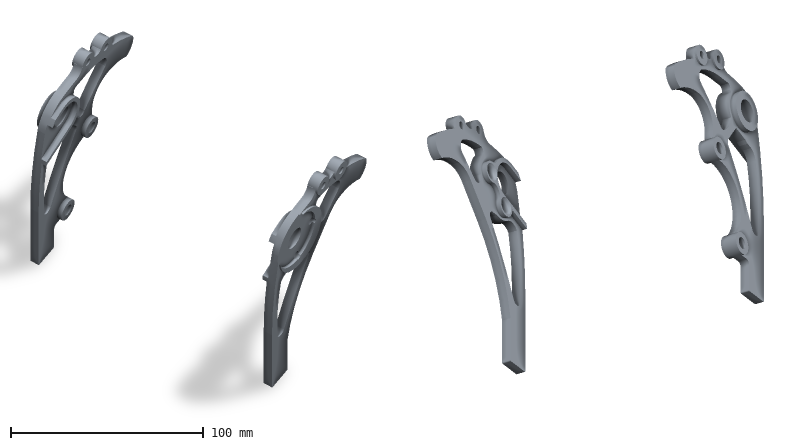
import cadquery as cq
import math


plate_thickness = 5.2
ear_boss_height = 1.15
bearing_boss_height = 3.4
inner_height = 2.8
overall_width = 155.49
inner_x = plate_thickness + inner_height
full_depth = ear_boss_height + inner_x

front_y = -22.1
bottom_z = -101.75
tail_rear_y = -7.5
tail_corner_radius = 0.6
step_radius = 2.5
front_bend_z = -57.5
far_tail_top_z = -76.5
arm_tip_y = 66.35

bearing_hole_radius = 6.15
bearing_boss_radius = 10.8
seat_radius = 12.6
slot_radius = 10.0
slot_depth_into_plate = 0.6
slot_angle = 17.6
slot_reach = 40.0

blank_size = 300.0

ears = [(40.9, 14.95), (24.15, 19.95)]
ear_radius = 5.45
ear_hole_radius = 2.15
mounts = [(23.4, -32.0), (1.25, -77.95)]
mount_radius = 6.1
mount_hole_radius = 3.2

screws = [(15.1, -1.35), (1.35, -15.1)]
screw_hole_radius = 2.1
countersink_radius = 4.8
countersink_depth = 2.7
screw_pad_radius = 6.0
screw_wall_radius = 7.3
screw_pad_blend = 5.4
recess_radius = 16.5
recess_depth = 0.6
crescent_radius = 19.2
crescent_center = (3.5, -3.5)


def sketch_at(x):
    return cq.Workplane("YZ", origin=(x, 0, 0))


def discs(centers, radius, x_start, x_end):
    return sketch_at(x_start).pushPoints(centers).circle(radius).extrude(x_end - x_start)


def outline_to_arm(start_y):
    """Front, top and arm edges, from the tail's front corner round to the underside of the arm."""
    low_ear_y, low_ear_z = ears[0]
    return (
        sketch_at(-ear_boss_height)
        .moveTo(tail_rear_y, start_y)
        .lineTo(tail_rear_y, bottom_z)
        .lineTo(front_y, bottom_z)
        .lineTo(front_y, front_bend_z)
        .tangentArcPoint((-15.3, 1.1), relative=False)
        .tangentArcPoint((0, 15.45), relative=False)
        .tangentArcPoint((12.7, 16.8), relative=False)
        .threePointArc((16.6, 18.1), (18.8, 21.4))
        .lineTo(*ears[1])
        .lineTo(29.5, 19.8)
        .threePointArc((30.8, 17.6), (33.0, 16.9))
        .threePointArc((34.6, 17.05), (36.0, 17.8))
        .lineTo(low_ear_y, low_ear_z)
        .lineTo(low_ear_y + ear_radius, low_ear_z)
        .lineTo(low_ear_y + ear_radius, 12.0)
        .threePointArc((46.9, 10.7), (48.3, 9.7))
        .threePointArc((56.3, 5.3), (63.7, 0.2))
        .tangentArcPoint((arm_tip_y, -2.7), relative=False)
        .threePointArc((65.0, -9.3), (60.1, -13.0))
        .threePointArc((51.0, -8.9), (43.2, -7.9))
    )


def near_outline():
    """Outline with two scalloped bays along its rear edge, between the arm, the mounts and the tail."""
    step_z = mounts[1][1] - mount_radius
    return (
        outline_to_arm(step_z - step_radius)
        .threePointArc((32.5, -12.3), (28.0, -23.0))
        .lineTo(28.0, -27.5)
        .lineTo(*mounts[0])
        .lineTo(mounts[0][0], mounts[0][1] - mount_radius)
        .lineTo(21.7, mounts[0][1] - mount_radius)
        .threePointArc((0.5, -59.3), (5.1, -73.0))
        .lineTo(*mounts[1])
        .lineTo(mounts[1][0], step_z)
        .lineTo(tail_rear_y + step_radius, step_z)
        .radiusArc((tail_rear_y, step_z - step_radius), -step_radius)
        .close()
    )


def far_outline():
    """Outline whose rear edge is one long sweep from the arm to the tail."""
    return (
        outline_to_arm(far_tail_top_z)
        .threePointArc((37.0, -9.3), (31.8, -13.1))
        .lineTo(16.7, -29.2)
        .threePointArc((-1.6, -57.2), (tail_rear_y, far_tail_top_z))
        .close()
    )


def upper_window():
    """Opening between the arm, the ears and the bearing seat."""
    return (
        sketch_at(-ear_boss_height)
        .moveTo(40.4, -0.4)
        .threePointArc((41.6, 3.6), (39.0, 7.6))
        .threePointArc((31.4, 10.3), (23.4, 11.4))
        .lineTo(12.8, 11.4)
        .threePointArc((11.3, 10.3), (10.9, 8.6))
        .lineTo(8.0, 0)
        .lineTo(10.7, -9.5)
        .threePointArc((12.6, -13.9), (16.2, -17.6))
        .threePointArc((18.6, -18.6), (21.0, -17.0))
        .threePointArc((30.3, -8.7), (40.4, -0.4))
        .close()
        .extrude(full_depth)
    )


def lower_window():
    """Long opening between the front edge and the rear sweep, below the bearing seat."""
    return (
        sketch_at(-ear_boss_height)
        .moveTo(12.9, -25.4)
        .threePointArc((13.5, -23.5), (12.9, -21.6))
        .lineTo(6.5, -13.0)
        .lineTo(4.0, -10.0)
        .lineTo(-6.0, -15.7)
        .lineTo(-9.4, -16.7)
        .threePointArc((-12.2, -18.8), (-13.7, -22.0))
        .threePointArc((-16.2, -36.0), (-17.1, -50.0))
        .lineTo(-17.1, -63.5)
        .threePointArc((-14.2, -66.1), (-10.9, -64.6))
        .threePointArc((0.4, -44.3), (12.9, -25.4))
        .close()
        .extrude(full_depth)
    )


def stadium(radius, x_start, x_end):
    """Round end on the bearing axis, running out past the front edge and sloping down."""
    return (
        sketch_at(x_start)
        .circle(radius)
        .extrude(x_end - x_start)
        .union(
            sketch_at(x_start)
            .center(-slot_reach / 2, 0)
            .rect(slot_reach, 2 * radius)
            .extrude(x_end - x_start)
        )
        .rotate((0, 0, 0), (1, 0, 0), slot_angle)
    )


def upper_shelf():
    """Wall that carries the upper screw, filling the side of the upper window next to the seat."""
    screw_y, screw_z = screws[0]
    return (
        sketch_at(-ear_boss_height)
        .moveTo(22.0, 12.0)
        .threePointArc((20.0, 10.7), (19.2, 8.0))
        .lineTo(21.2, 3.5)
        .threePointArc((screw_y + screw_wall_radius, screw_z), (21.8, -5.0))
        .lineTo(21.8, -9.0)
        .threePointArc((23.9, -11.2), (28.2, -10.4))
        .lineTo(20.0, -20.0)
        .lineTo(5.0, -20.0)
        .lineTo(5.0, 12.0)
        .close()
        .extrude(full_depth)
    )


def lower_shelf():
    """Wall that carries the lower screw, filling the top of the lower window."""
    screw_y, screw_z = screws[1]
    return (
        sketch_at(-ear_boss_height)
        .moveTo(14.0, -25.5)
        .lineTo(12.8, -25.5)
        .threePointArc((12.2, -23.0), (10.0, -22.0))
        .lineTo(6.0, -22.0)
        .threePointArc((screw_y, screw_z - screw_wall_radius), (-3.0, -21.3))
        .lineTo(-5.0, -20.3)
        .threePointArc((-9.2, -19.4), (-13.7, -22.0))
        .lineTo(-14.5, -15.0)
        .lineTo(5.0, -8.0)
        .lineTo(14.0, -20.0)
        .close()
        .extrude(full_depth)
    )


def ear_tabs():
    """Rounded ears, proud of the plate on the outer side."""
    return discs(ears, ear_radius, -ear_boss_height, plate_thickness)


def ear_holes():
    return discs(ears, ear_hole_radius, -ear_boss_height, plate_thickness)


def bearing_hole():
    return discs([(0, 0)], bearing_hole_radius, -bearing_boss_height, inner_x)


def slot():
    """Slot through the raised seat and slightly into the plate, open at the front edge."""
    return stadium(slot_radius, plate_thickness - slot_depth_into_plate, inner_x)


def plate_slab(envelope):
    """The part of the outline's extrusion that is plate, with the tail's corners rounded."""
    blank = sketch_at(0).rect(blank_size, blank_size).extrude(plate_thickness)
    return envelope.intersect(blank).edges("|X").edges("<Z").fillet(tail_corner_radius)


def build_near_bracket():
    """Bracket with the outer bearing boss and the two rear mounting bosses."""
    envelope = near_outline().extrude(full_depth)
    seat = stadium(seat_radius, plate_thickness, inner_x).intersect(envelope)
    seat_clearance = stadium(seat_radius, -ear_boss_height, inner_x)
    return (
        plate_slab(envelope)
        .cut(upper_window().cut(seat_clearance))
        .cut(lower_window().cut(seat_clearance))
        .union(seat)
        .union(ear_tabs())
        .union(discs(mounts, mount_radius, -ear_boss_height, inner_x))
        .union(discs([(0, 0)], bearing_boss_radius, -bearing_boss_height, plate_thickness))
        .cut(slot())
        .cut(bearing_hole())
        .cut(ear_holes())
        .cut(discs(mounts, mount_hole_radius, -ear_boss_height, inner_x))
    )


def blend_web(screw, side):
    """Concave fillet between a screw pad and the round rim of the seat, on one side of the pad."""
    rim_to_blend = seat_radius + screw_pad_blend
    pad_to_blend = screw_pad_radius + screw_pad_blend
    rim_to_pad = math.hypot(*screw)
    cosine = (rim_to_blend**2 + rim_to_pad**2 - pad_to_blend**2) / (2 * rim_to_blend * rim_to_pad)
    angle = math.atan2(screw[1], screw[0]) + side * math.acos(cosine)
    blend_center = (rim_to_blend * math.cos(angle), rim_to_blend * math.sin(angle))
    web = (
        sketch_at(plate_thickness)
        .polyline([(0, 0), screw, blend_center])
        .close()
        .extrude(inner_height)
    )
    return web.cut(discs([blend_center], screw_pad_blend, plate_thickness, inner_x))


def screw_pads():
    """Round pads at the screws, blended into the rim of the bearing seat."""
    pads = discs(screws, screw_pad_radius, plate_thickness, inner_x)
    pads = pads.union(stadium(seat_radius, plate_thickness, inner_x))
    upper_screw, lower_screw = screws
    for screw, side in [(upper_screw, 1), (upper_screw, -1), (lower_screw, 1)]:
        pads = pads.union(blend_web(screw, side))
    return pads


def countersinks():
    """Conical seats on the inner side, each leading into a through hole."""
    cutters = cq.Workplane()
    for screw_y, screw_z in screws:
        cone = cq.Solid.makeCone(
            countersink_radius,
            screw_hole_radius,
            countersink_depth,
            cq.Vector(inner_x, screw_y, screw_z),
            cq.Vector(-1, 0, 0),
        )
        cutters = cutters.add(cone)
    return cutters.combine().union(discs(screws, screw_hole_radius, -ear_boss_height, inner_x))


def build_far_bracket():
    """Bracket with the countersunk screws and a round relief inside a crescent on the outer face."""
    envelope = far_outline().extrude(full_depth)
    raised = screw_pads().union(discs([crescent_center], crescent_radius, -ear_boss_height, 0))
    return (
        plate_slab(envelope)
        .union(raised.intersect(envelope))
        .cut(upper_window().cut(upper_shelf()))
        .cut(lower_window().cut(lower_shelf()))
        .cut(discs([(0, 0)], recess_radius, -ear_boss_height, recess_depth))
        .union(ear_tabs())
        .cut(slot())
        .cut(bearing_hole())
        .cut(ear_holes())
        .cut(countersinks())
    )


near_bracket = build_near_bracket()
far_bracket = (
    build_far_bracket()
    .mirror("YZ")
    .translate((overall_width - bearing_boss_height - ear_boss_height, 0, 0))
)
result = cq.Compound.makeCompound([near_bracket.val(), far_bracket.val()])